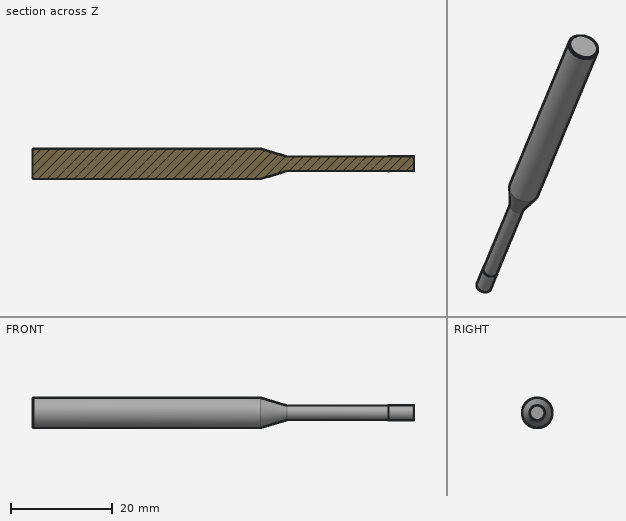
import cadquery as cq

overall_length = 75.0
reach = 25.0
tip_length = 5.0
cone_length = 5.2

shank_diameter = 6.0
neck_diameter = 2.9
tip_diameter = 3.0

shank_chamfer = 0.25
tip_fillet = 0.2

neck_start = overall_length - reach
cone_start = neck_start - cone_length
tip_start = overall_length - tip_length


def make_cylinder(start, end, diameter):
    """Round bar along X between two stations."""
    return cq.Workplane("YZ", origin=(start, 0, 0)).circle(diameter / 2).extrude(end - start)


def make_shank():
    """Gripping shank with a chamfered free end."""
    shank = make_cylinder(0, cone_start, shank_diameter)
    return shank.faces("<X").chamfer(shank_chamfer)


def make_cone():
    """Straight taper from the shank down to the neck."""
    large_end = cq.Workplane("YZ", origin=(cone_start, 0, 0)).circle(shank_diameter / 2)
    return large_end.workplane(offset=cone_length).circle(neck_diameter / 2).loft(ruled=True)


def make_tip():
    """Tip, slightly larger than the neck, with a rounded end edge."""
    tip = make_cylinder(tip_start, overall_length, tip_diameter)
    return tip.faces(">X").edges().fillet(tip_fillet)


neck = make_cylinder(neck_start, tip_start, neck_diameter)
result = make_shank().union(make_cone()).union(neck).union(make_tip())